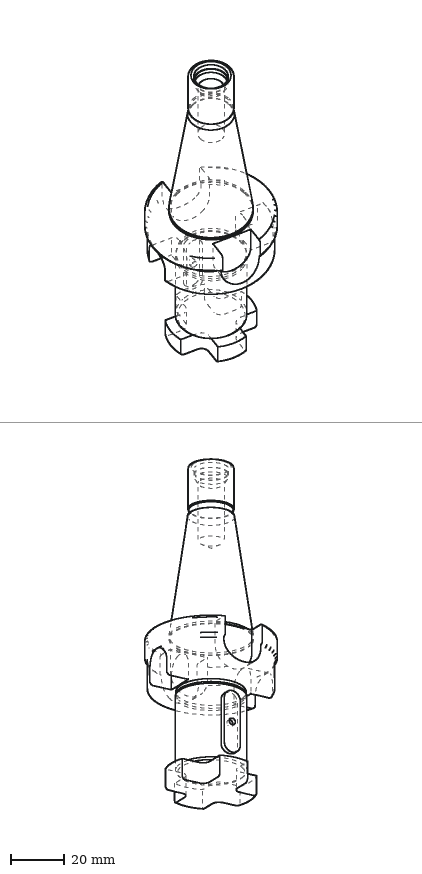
import cadquery as cq
import math

TOTAL_HEIGHT = 132.4
SPIGOT_BOTTOM = 115.3
TAPER_TOP = 112.4
GAUGE_HEIGHT = 64.2
COLLAR_TOP = 62.4
COLLAR_BOTTOM = 55.1
BODY_BOTTOM = 41.0
SCREW_TOP = 8.3

SPIGOT_RADIUS = 17.3 / 2
NECK_RADIUS = 8.3
GAUGE_RADIUS = 15.9
TAPER_RATIO = 7 / 48
TAPER_TOP_RADIUS = GAUGE_RADIUS - TAPER_RATIO * (TAPER_TOP - GAUGE_HEIGHT)
COLLAR_RADIUS = 50.0 / 2
BODY_RADIUS = 48.0 / 2
ARBOR_RADIUS = 13.5
ARBOR_RELIEF_RADIUS = 13.2
SCREW_RADIUS = 17.5

SPIGOT_FILLET = 0.8
SPIGOT_CHAMFER = 0.4
NECK_FILLET = TAPER_TOP_RADIUS - NECK_RADIUS
GAUGE_LAND = 0.8
TAPER_GROOVE_WIDTH = 0.8
TAPER_GROOVE_DEPTH = 0.3
COLLAR_FILLET = 1.0
OGEE_HEIGHT = 1.6
BODY_FILLET = 1.5
RELIEF_LENGTH = 1.2
RELIEF_RAMP = 0.8
ARBOR_CHAMFER = 0.8
SCREW_FILLET = 1.3

MOUTH_RADIUS = 7.5
COUNTERBORE_RADIUS = 6.5
MOUTH_CHAMFER_DEPTH = 0.7
COUNTERBORE_DEPTH = 2.6
RECESS_RADIUS = 6.2
RECESS_DEPTH = 4.4
BOLT_HOLE_RADIUS = 5.0
BOLT_CONE_DEPTH = 6.5
BOLT_HOLE_DEPTH = 29.9
DRILL_POINT_ANGLE = 118.0

COLLAR_SLOT_WIDTH = 16.3
COLLAR_SLOT_FLOOR = 16.2
COLLAR_SLOT_END = 44.9
BODY_SLOT_WIDTH = 12.2
BODY_SLOT_FLOOR = 13.8
BODY_SLOT_END = 53.5

KEY_WIDTH = 7.0
KEY_LENGTH = 25.0
KEY_CENTRE_HEIGHT = 23.7
KEY_FACE = 15.4
KEY_HOLE_DIAMETER = 2.6
KEY_HOLE_DEPTH = 2.6

ARM_WIDTH = 12.2
ARM_CORNER_FILLET = 3.0


def make_turned_body():
    """Spigot, taper, collar, drive body and arbor as one revolved profile."""
    groove_top = GAUGE_HEIGHT - GAUGE_LAND
    groove_bottom = (GAUGE_RADIUS - TAPER_GROOVE_DEPTH, groove_top - TAPER_GROOVE_WIDTH / 2)
    ogee_middle_radius = (BODY_RADIUS + COLLAR_RADIUS) / 2
    ogee_half_step = (COLLAR_RADIUS - BODY_RADIUS) / 2
    ogee_arc = (ogee_half_step**2 + (OGEE_HEIGHT / 2) ** 2) / (2 * ogee_half_step)
    profile = (
        cq.Workplane("XZ")
        .moveTo(0, SCREW_TOP)
        .lineTo(ARBOR_RADIUS - ARBOR_CHAMFER, SCREW_TOP)
        .lineTo(ARBOR_RADIUS, SCREW_TOP + ARBOR_CHAMFER)
        .lineTo(ARBOR_RADIUS, BODY_BOTTOM - RELIEF_LENGTH - RELIEF_RAMP)
        .lineTo(ARBOR_RELIEF_RADIUS, BODY_BOTTOM - RELIEF_LENGTH)
        .lineTo(ARBOR_RELIEF_RADIUS, BODY_BOTTOM)
        .lineTo(BODY_RADIUS - BODY_FILLET, BODY_BOTTOM)
        .radiusArc((BODY_RADIUS, BODY_BOTTOM + BODY_FILLET), -BODY_FILLET)
        .lineTo(BODY_RADIUS, COLLAR_BOTTOM - OGEE_HEIGHT)
        .radiusArc((ogee_middle_radius, COLLAR_BOTTOM - OGEE_HEIGHT / 2), ogee_arc)
        .radiusArc((COLLAR_RADIUS, COLLAR_BOTTOM), -ogee_arc)
        .lineTo(COLLAR_RADIUS, COLLAR_TOP - COLLAR_FILLET)
        .radiusArc((COLLAR_RADIUS - COLLAR_FILLET, COLLAR_TOP), -COLLAR_FILLET)
        .lineTo(GAUGE_RADIUS, COLLAR_TOP)
        .lineTo(GAUGE_RADIUS, groove_top - TAPER_GROOVE_WIDTH)
        .threePointArc(groove_bottom, (GAUGE_RADIUS, groove_top))
        .lineTo(GAUGE_RADIUS, GAUGE_HEIGHT)
        .lineTo(TAPER_TOP_RADIUS, TAPER_TOP)
        .radiusArc((NECK_RADIUS, TAPER_TOP + NECK_FILLET), NECK_FILLET)
        .lineTo(NECK_RADIUS, SPIGOT_BOTTOM - SPIGOT_CHAMFER)
        .lineTo(SPIGOT_RADIUS, SPIGOT_BOTTOM)
        .lineTo(SPIGOT_RADIUS, TOTAL_HEIGHT - SPIGOT_FILLET)
        .radiusArc((SPIGOT_RADIUS - SPIGOT_FILLET, TOTAL_HEIGHT), -SPIGOT_FILLET)
        .lineTo(0, TOTAL_HEIGHT)
        .close()
    )
    return profile.revolve(360, (0, 0, 0), (0, 1, 0))


def make_bolt_hole():
    """Stepped blind hole with a chamfered mouth and a drill-point bottom."""
    point_depth = BOLT_HOLE_RADIUS / math.tan(math.radians(DRILL_POINT_ANGLE / 2))
    steps = (
        cq.Workplane("XZ", origin=(0, 0, TOTAL_HEIGHT))
        .lineTo(MOUTH_RADIUS, 0)
        .lineTo(COUNTERBORE_RADIUS, -MOUTH_CHAMFER_DEPTH)
        .lineTo(COUNTERBORE_RADIUS, -COUNTERBORE_DEPTH)
        .lineTo(RECESS_RADIUS, -COUNTERBORE_DEPTH)
        .lineTo(RECESS_RADIUS, -RECESS_DEPTH)
        .lineTo(BOLT_HOLE_RADIUS, -BOLT_CONE_DEPTH)
        .lineTo(BOLT_HOLE_RADIUS, -BOLT_HOLE_DEPTH)
        .lineTo(0, -BOLT_HOLE_DEPTH - point_depth)
        .close()
    )
    return steps.revolve(360, (0, 0, 0), (0, 1, 0))


def make_drive_slot(width, floor, round_end, open_end):
    """Cutter on the +X side: a slot with a flat floor and one round end."""
    radius = width / 2
    inward = math.copysign(radius, open_end - round_end)
    outline = (
        cq.Workplane("YZ", origin=(floor, 0, 0))
        .moveTo(-radius, open_end)
        .lineTo(-radius, round_end + inward)
        .threePointArc((0, round_end), (radius, round_end + inward))
        .lineTo(radius, open_end)
        .close()
    )
    return outline.extrude(COLLAR_RADIUS)


def make_key():
    """Round-ended key, reaching from the axis out past the -X side of the arbor."""
    return (
        cq.Workplane("YZ", origin=(0, 0, KEY_CENTRE_HEIGHT))
        .slot2D(KEY_LENGTH, KEY_WIDTH, 90)
        .extrude(-KEY_FACE)
        .faces("<X")
        .workplane()
        .hole(KEY_HOLE_DIAMETER, KEY_HOLE_DEPTH)
    )


def make_clamping_screw():
    """Cross with rounded inner corners, trimmed to a disc with a rounded lower rim."""
    arm_length = 3 * SCREW_RADIUS
    arm_x = cq.Workplane("XY").rect(arm_length, ARM_WIDTH).extrude(SCREW_TOP)
    arm_y = cq.Workplane("XY").rect(ARM_WIDTH, arm_length).extrude(SCREW_TOP)
    corner_zone = cq.selectors.BoxSelector(
        (-ARM_WIDTH, -ARM_WIDTH, 0), (ARM_WIDTH, ARM_WIDTH, SCREW_TOP)
    )
    cross = arm_x.union(arm_y).edges("|Z").edges(corner_zone).fillet(ARM_CORNER_FILLET)
    disc = cq.Workplane("XY").circle(SCREW_RADIUS).extrude(SCREW_TOP)
    disc = disc.faces("<Z").edges().fillet(SCREW_FILLET)
    return disc.intersect(cross)


collar_slot = make_drive_slot(COLLAR_SLOT_WIDTH, COLLAR_SLOT_FLOOR, COLLAR_SLOT_END, GAUGE_HEIGHT)
body_slot = make_drive_slot(BODY_SLOT_WIDTH, BODY_SLOT_FLOOR, BODY_SLOT_END, BODY_BOTTOM)

result = make_turned_body().cut(make_bolt_hole())
for turn in (0, 180):
    result = result.cut(collar_slot.rotate((0, 0, 0), (0, 0, 1), turn))
    result = result.cut(body_slot.rotate((0, 0, 0), (0, 0, 1), turn + 90))
result = result.union(make_key()).union(make_clamping_screw())